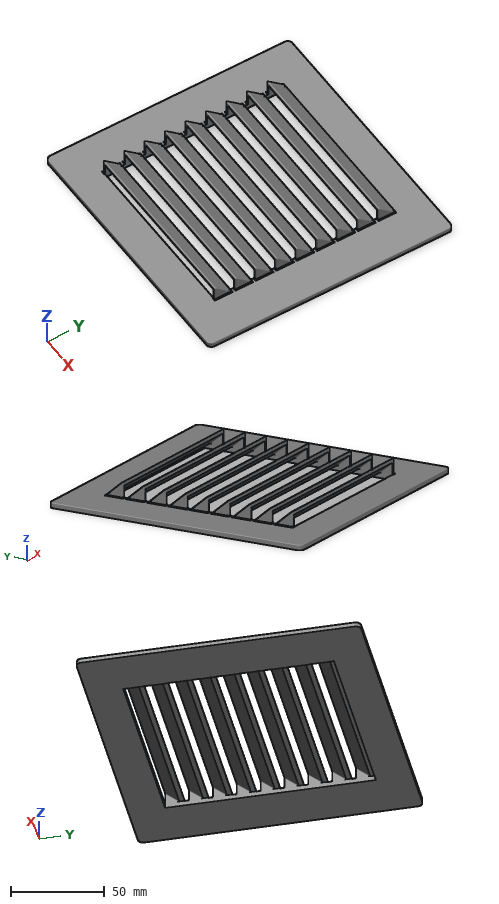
import cadquery as cq
import math

plate_x = 160.0
plate_y = 155.0
plate_thick = 3.0
corner_radius = 3.0
total_height = 11.7

edge_radius = 0.5

louvre_count = 9
row_travel = 104.0
louvre_length = 109.1
blade_angle = math.radians(40.5)
cheek_thick = 1.8
blade_drop = 2.5

louvre_pitch = row_travel / (louvre_count - 1)
blade_slope = math.tan(blade_angle)
tip_loss = edge_radius * (blade_slope + 1 / math.cos(blade_angle) - 1)
apex_height = total_height - plate_thick + tip_loss
louvre_depth = apex_height / blade_slope

window_x = louvre_length - 2 * cheek_thick
window_y = row_travel + louvre_depth


def make_plate():
    """Frame with rounded corners and top rim, and one window under all the louvres."""
    plate = cq.Workplane("XY").rect(plate_x, plate_y).extrude(plate_thick)
    plate = plate.edges("|Z").fillet(corner_radius)
    plate = plate.faces(">Z").edges().fillet(edge_radius)
    window = cq.Workplane("XY").rect(window_x, window_y).extrude(plate_thick)
    return plate.cut(window)


def make_wedge(length, height):
    """Right-triangle prism: upright front at Y = 0, sloping down towards +Y."""
    outline = cq.Workplane("YZ").polyline([(0, 0), (height / blade_slope, 0), (0, height)]).close()
    return outline.extrude(length / 2, both=True)


def make_hood():
    """Sloping blade between two cheeks, open at the front and underneath."""
    sloping_edges = "not (|X or |Y or |Z)"
    outer = make_wedge(louvre_length, apex_height)
    outer = outer.edges("|Z or >Z or (" + sloping_edges + ")").fillet(edge_radius)
    hollow = make_wedge(window_x, apex_height - blade_drop)
    hollow = hollow.edges(sloping_edges).fillet(edge_radius)
    return outer.cut(hollow)


def make_foot():
    """Bevelled strip that joins the outside of the +X cheek to the plate."""
    inner_x = window_x / 2
    outer_x = louvre_length / 2
    top_back = louvre_depth - edge_radius / blade_slope
    base = [
        (inner_x, -edge_radius),
        (outer_x + edge_radius, -edge_radius),
        (outer_x + edge_radius, louvre_depth),
        (inner_x, louvre_depth),
    ]
    top = [(inner_x, 0), (outer_x, 0), (outer_x, top_back), (inner_x, top_back)]
    foot = cq.Workplane("XY").polyline(base).close()
    foot = foot.workplane(offset=edge_radius).polyline(top).close()
    return foot.loft(ruled=True)


foot = make_foot()
louvre = make_hood().union(foot).union(foot.mirror("YZ"))
first_front_y = -window_y / 2

result = make_plate()
for index in range(louvre_count):
    front_y = first_front_y + index * louvre_pitch
    result = result.union(louvre.translate((0, front_y, plate_thick)))